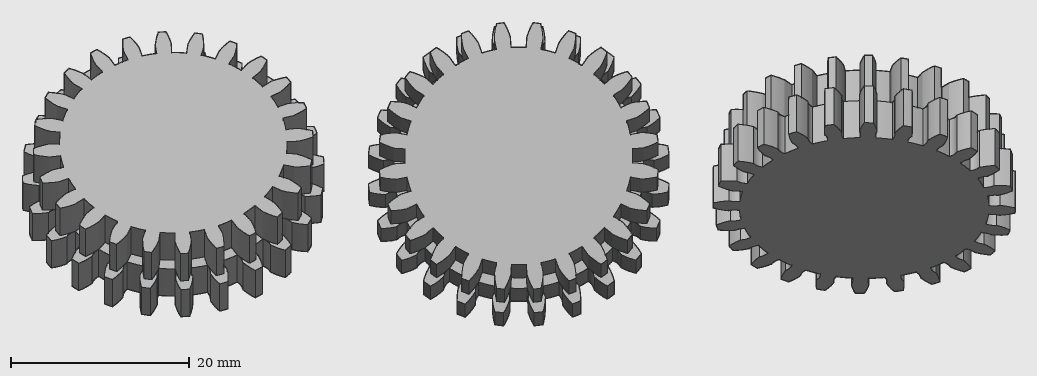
import cadquery as cq
import math

OUTER_SIZE = 33.85
TOTAL_HEIGHT = 10.0
GEAR_WIDTH = TOTAL_HEIGHT / 2

TOOTH_COUNT = 24
PITCH_ANGLE = 360 / TOOTH_COUNT
BASE_HALF_ANGLE = PITCH_ANGLE / 4
FIRST_TOOTH_ANGLE = -BASE_HALF_ANGLE

LOWER_TIP_HALF_ANGLE = 1.7
LOWER_FLANK_HALF_ANGLE = 2.9
LOWER_WAIST_HALF_ANGLE = 3.3
UPPER_TIP_HALF_ANGLE = 1.6
UPPER_FLANK_HALF_ANGLE = 2.8

LOWER_TIP_RADIUS = OUTER_SIZE / 2 / math.cos(math.radians(BASE_HALF_ANGLE - LOWER_TIP_HALF_ANGLE))
UPPER_TIP_RADIUS = 15.7

TOOTH_DEPTH = 2.95
FOOT_HEIGHT = 1.22


def polar(radius, angle):
    """Point at a radius and an angle in degrees."""
    return (radius * math.cos(math.radians(angle)), radius * math.sin(math.radians(angle)))


def gear(tip_radius, tip_half_angle, flank_half_angle, waist_half_angle=None):
    """Gear with a foot below each curved flank; the foot is radial, or undercut if a waist is given."""
    root_radius = tip_radius - TOOTH_DEPTH
    shoulder_radius = root_radius + FOOT_HEIGHT
    waist_radius = (root_radius + shoulder_radius) / 2
    flank_radius = (shoulder_radius + tip_radius) / 2

    def add_foot(outline, center, side, end_radius):
        end = polar(end_radius, center + side * BASE_HALF_ANGLE)
        if waist_half_angle is None:
            return outline.lineTo(*end)
        return outline.threePointArc(polar(waist_radius, center + side * waist_half_angle), end)

    outline = cq.Workplane("XY").moveTo(*polar(root_radius, FIRST_TOOTH_ANGLE - BASE_HALF_ANGLE))
    for tooth in range(TOOTH_COUNT):
        center = FIRST_TOOTH_ANGLE + tooth * PITCH_ANGLE

        outline = add_foot(outline, center, -1, shoulder_radius)
        outline = outline.threePointArc(
            polar(flank_radius, center - flank_half_angle),
            polar(tip_radius, center - tip_half_angle),
        )
        outline = outline.threePointArc(
            polar(tip_radius, center),
            polar(tip_radius, center + tip_half_angle),
        )
        outline = outline.threePointArc(
            polar(flank_radius, center + flank_half_angle),
            polar(shoulder_radius, center + BASE_HALF_ANGLE),
        )
        outline = add_foot(outline, center, 1, root_radius)

        outline = outline.threePointArc(
            polar(root_radius, center + PITCH_ANGLE / 2),
            polar(root_radius, center + PITCH_ANGLE - BASE_HALF_ANGLE),
        )
    return outline.close().extrude(GEAR_WIDTH)


lower_gear = gear(
    LOWER_TIP_RADIUS, LOWER_TIP_HALF_ANGLE, LOWER_FLANK_HALF_ANGLE, LOWER_WAIST_HALF_ANGLE
)
upper_gear = gear(UPPER_TIP_RADIUS, UPPER_TIP_HALF_ANGLE, UPPER_FLANK_HALF_ANGLE)

result = lower_gear.union(upper_gear.translate((0, 0, GEAR_WIDTH)))